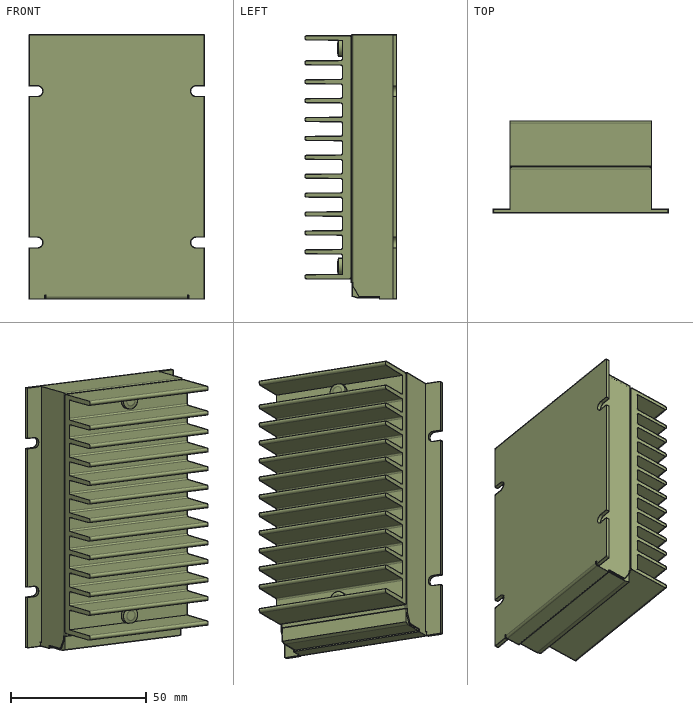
import cadquery as cq

PLATE_WIDTH = 65.0
LENGTH = 98.0
PLATE_THICKNESS = 1.4
PLATE_CORNER_RADIUS = 0.3
SLOT_WIDTH = 3.9
SLOT_DEPTH = 5.1
SLOT_END_DISTANCE = 21.0

BOX_WIDTH = 52.5
BOX_BACK = 17.0
SHEET = 0.5
BEND_RADIUS = 0.8
BACK_WALL_BOTTOM = 6.2
SIDE_WALL_BOTTOM = 1.1
SIDE_CUT_TOP = 4.8
SIDE_CUT_LENGTH = 2.2
BOTTOM_LIP_DEPTH = 6.4
RELIEF_WIDTH = 0.4
RELIEF_HEIGHT = 1.5

CORE_EDGE_DEPTH = 1.9
CORE_EDGE_HEIGHT = 0.6

TOTAL_DEPTH = 34.0
SINK_LENGTH = 90.2
SINK_TOP_GAP = 0.4
SINK_BASE_THICKNESS = 3.1
SINK_EDGE_CHAMFER = 0.4
INNER_FIN_COUNT = 11
INNER_FIN_SPAN = 70.0
FIN_ROOT_THICKNESS = 1.8
FIN_TAPER = 0.1
FIN_EMBED = 1.0
FIN_ROOT_RADIUS = 0.6

HEAD_DIAMETER = 6.3
HEAD_TOP_DIAMETER = 3.6
HEAD_HEIGHT = 1.8
HEAD_RIM_HEIGHT = 1.5
SCREW_SPACING = 80.9

CORE_BACK = BOX_BACK - SHEET
SINK_TOP = LENGTH - SINK_TOP_GAP
SINK_BOTTOM = SINK_TOP - SINK_LENGTH
SINK_CENTRE = (SINK_TOP + SINK_BOTTOM) / 2
FIN_PITCH = INNER_FIN_SPAN / (INNER_FIN_COUNT - 1)
FIN_ROOT = BOX_BACK + SINK_BASE_THICKNESS


def block(width, y_start, y_end, z_start, z_end):
    """Box centred on X = 0 between the given Y and Z limits."""
    return (
        cq.Workplane("XY", origin=(0, y_start, z_start))
        .box(width, y_end - y_start, z_end - z_start, centered=(True, False, False))
    )


def make_core():
    """Block that fills the box and shows at its open lower end."""
    core = block(BOX_WIDTH - 2 * SHEET, PLATE_THICKNESS, CORE_BACK, SHEET, LENGTH - SHEET)
    corner = (
        cq.Workplane("YZ")
        .moveTo(CORE_BACK, SHEET)
        .lineTo(CORE_BACK, SHEET + CORE_EDGE_HEIGHT)
        .lineTo(CORE_BACK - CORE_EDGE_DEPTH, SHEET)
        .close()
        .extrude(BOX_WIDTH / 2, both=True)
    )
    return core.cut(corner)


def make_plate():
    """Flat mounting plate with four open-ended slots."""
    plate = block(PLATE_WIDTH, 0, PLATE_THICKNESS, 0, LENGTH).edges("|Y").fillet(PLATE_CORNER_RADIUS)
    for side in (-1, 1):
        for z in (SLOT_END_DISTANCE, LENGTH - SLOT_END_DISTANCE):
            slot = (
                cq.Workplane("XZ")
                .center(side * PLATE_WIDTH / 2, z)
                .slot2D(2 * SLOT_DEPTH, SLOT_WIDTH)
                .extrude(-PLATE_THICKNESS)
            )
            plate = plate.cut(slot)
    return plate


def make_housing(core):
    """Mounting plate and sheet box in one piece, hollowed to fit the core."""
    box = block(BOX_WIDTH, 0, BOX_BACK, 0, LENGTH)
    box = box.faces(">Y").edges("|Z or >Z").fillet(BEND_RADIUS)
    housing = make_plate().union(box)

    bend_waste = (
        cq.Workplane("YZ")
        .lineTo(BEND_RADIUS, 0)
        .radiusArc((0, BEND_RADIUS), BEND_RADIUS)
        .close()
        .extrude(BOX_WIDTH / 2, both=True)
    )
    housing = housing.cut(bend_waste)
    for side in (-1, 1):
        relief = block(RELIEF_WIDTH, 0, PLATE_THICKNESS, 0, RELIEF_HEIGHT)
        housing = housing.cut(relief.translate((side * (BOX_WIDTH + RELIEF_WIDTH) / 2, 0, 0)))

    opening = (
        cq.Workplane("YZ")
        .moveTo(BOTTOM_LIP_DEPTH, 0)
        .lineTo(BOTTOM_LIP_DEPTH, SIDE_WALL_BOTTOM)
        .lineTo(BOX_BACK - BEND_RADIUS - SIDE_CUT_LENGTH, SIDE_WALL_BOTTOM)
        .lineTo(BOX_BACK - BEND_RADIUS, SIDE_CUT_TOP)
        .lineTo(BOX_BACK - BEND_RADIUS, BACK_WALL_BOTTOM)
        .lineTo(BOX_BACK, BACK_WALL_BOTTOM)
        .lineTo(BOX_BACK, 0)
        .close()
        .extrude(BOX_WIDTH / 2, both=True)
    )
    return housing.cut(opening).cut(core)


def make_fin(z, lower_taper=FIN_TAPER, upper_taper=FIN_TAPER):
    """Fin with a rounded tip; each side leans in by its taper from root to tip."""
    root_bottom = z - FIN_ROOT_THICKNESS / 2
    root_top = z + FIN_ROOT_THICKNESS / 2
    tip_bottom = root_bottom + lower_taper
    tip_top = root_top - upper_taper
    tip_start = TOTAL_DEPTH - (tip_top - tip_bottom) / 2
    return (
        cq.Workplane("YZ")
        .moveTo(FIN_ROOT - FIN_EMBED, root_bottom)
        .lineTo(FIN_ROOT, root_bottom)
        .lineTo(tip_start, tip_bottom)
        .threePointArc((TOTAL_DEPTH, (tip_bottom + tip_top) / 2), (tip_start, tip_top))
        .lineTo(FIN_ROOT, root_top)
        .lineTo(FIN_ROOT - FIN_EMBED, root_top)
        .close()
        .extrude(BOX_WIDTH / 2, both=True)
    )


def make_screw_head(z):
    """Pan head with a sloping shoulder and a flat top, seated on the floor of a channel."""
    rim = HEAD_DIAMETER / 2
    return (
        cq.Workplane("XY")
        .lineTo(rim, 0)
        .lineTo(rim, HEAD_RIM_HEIGHT)
        .lineTo(HEAD_TOP_DIAMETER / 2, HEAD_HEIGHT)
        .lineTo(0, HEAD_HEIGHT)
        .close()
        .revolve(360, (0, 0, 0), (0, 1, 0))
        .translate((0, FIN_ROOT, z))
    )


def make_heat_sink():
    """Finned extrusion along X, carrying its two screw heads."""
    sink = block(BOX_WIDTH, BOX_BACK, FIN_ROOT, SINK_BOTTOM, SINK_TOP)
    sink = sink.faces("<Y").edges("|X").chamfer(SINK_EDGE_CHAMFER)

    for i in range(INNER_FIN_COUNT):
        sink = sink.union(make_fin(SINK_CENTRE - INNER_FIN_SPAN / 2 + i * FIN_PITCH))
    sink = sink.union(make_fin(SINK_BOTTOM + FIN_ROOT_THICKNESS / 2, lower_taper=0))
    sink = sink.union(make_fin(SINK_TOP - FIN_ROOT_THICKNESS / 2, upper_taper=0))
    sink = sink.clean()

    inner_half = (INNER_FIN_SPAN + FIN_PITCH) / 2
    root_zone = cq.selectors.BoxSelector(
        (-BOX_WIDTH, FIN_ROOT - FIN_ROOT_RADIUS, SINK_CENTRE - inner_half),
        (BOX_WIDTH, FIN_ROOT + FIN_ROOT_RADIUS, SINK_CENTRE + inner_half),
    )
    sink = sink.edges("|X").edges(root_zone).fillet(FIN_ROOT_RADIUS)

    for side in (-1, 1):
        sink = sink.union(make_screw_head(SINK_CENTRE + side * SCREW_SPACING / 2))
    return sink


core = make_core()
housing = make_housing(core)
heat_sink = make_heat_sink()

result = cq.Compound.makeCompound([housing.val(), core.val(), heat_sink.val()])